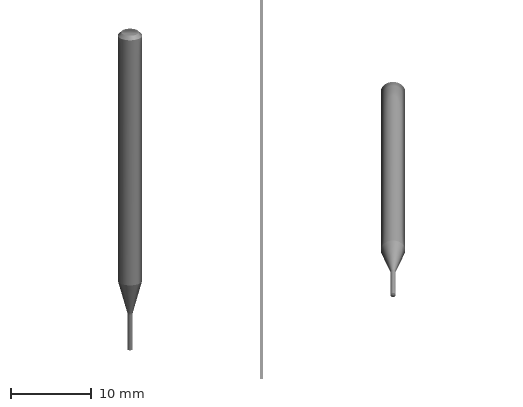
import cadquery as cq
import math

total_length = 43.0

drill_radius = 0.325
drill_length = 4.25
point_angle = 140.0
point_height = drill_radius / math.tan(math.radians(point_angle / 2))

shank_radius = 3.0 / 2
neck_top = 4.9
cone_bottom = 5.15
cone_half_angle = math.radians(15.0)
end_chamfer = 0.45

blend_radius = (cone_bottom - neck_top) / math.sin(cone_half_angle)


def blend_radius_at(angle):
    """Distance from the axis to the blend after it has turned by the given angle."""
    return drill_radius + blend_radius * (1 - math.cos(angle))


def blend_height_at(angle):
    """Height of the blend after it has turned by the given angle."""
    return neck_top + blend_radius * math.sin(angle)


cone_small_radius = blend_radius_at(cone_half_angle)
cone_top = cone_bottom + (shank_radius - cone_small_radius) / math.tan(cone_half_angle)


def revolve_about_z(profile):
    """Turn a closed half profile, drawn as radius and height, about the Z axis."""
    return profile.revolve(360, (0, 0, 0), (0, 1, 0))


def make_drill():
    """Drill body with its conical point on the origin."""
    profile = (
        cq.Workplane("XZ")
        .moveTo(0, 0)
        .lineTo(drill_radius, point_height)
        .lineTo(drill_radius, drill_length)
        .lineTo(0, drill_length)
        .close()
    )
    return revolve_about_z(profile)


def make_shank():
    """Shank that sits on the flat upper end of the drill body."""
    blend_middle = cone_half_angle / 2
    profile = (
        cq.Workplane("XZ")
        .moveTo(0, drill_length)
        .lineTo(drill_radius, drill_length)
        .lineTo(drill_radius, neck_top)
        .threePointArc(
            (blend_radius_at(blend_middle), blend_height_at(blend_middle)),
            (cone_small_radius, cone_bottom),
        )
        .lineTo(shank_radius, cone_top)
        .lineTo(shank_radius, total_length - end_chamfer)
        .lineTo(shank_radius - end_chamfer, total_length)
        .lineTo(0, total_length)
        .close()
    )
    return revolve_about_z(profile)


drill = make_drill()
shank = make_shank()

result = cq.Compound.makeCompound([drill.val(), shank.val()])